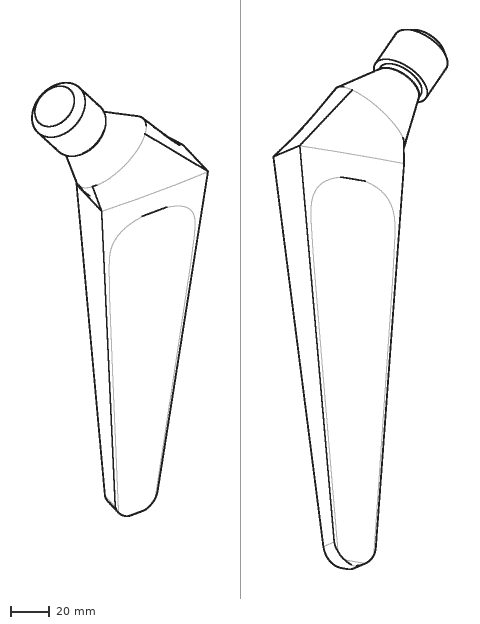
import cadquery as cq
import math

shoulder_z = 219.0
tip_start_z = 10.5
shoulder_back_y = 0.0
shoulder_front_y = -64.5
tip_back_y = -26.0
tip_front_y = -51.7
tip_mid_y = (tip_back_y + tip_front_y) / 2

shoulder_corner_x = 25.7 / 2
shoulder_crown_x = 27.2 / 2
tip_corner_x = 10.5 / 2
tip_crown_x = 14.8 / 2

panel_tip_x = 11.0 / 2
tip_round = 1.8
panel_bend_z = 177.3
panel_bend_x = 23.0 / 2
panel_top_z = 205.7
panel_top_x = 26.3 / 2
panel_top_direction = (1, 10)
stock_x = 29.5

tilt = 35.0
head_base_y = -70.3
head_base_z = 267.5
head_radius = 16.0
head_side_length = 22.0
head_chamfer_width = 4.0
head_chamfer_height = 4.0
collar_radius = 12.7
collar_length = 3.3
collar_root_depth = 3.0
neck_top_radius = 13.0
neck_length = 26.5
neck_base_offset = 2.5
neck_base_half_depth = 24.2
neck_base_half_width = 27.0 / 2

corner_angle = 37.0

head_length = head_side_length + head_chamfer_height
neck_top_height = -collar_length
neck_base_height = neck_top_height - neck_length

neck_plane = cq.Plane(
    origin=(0, head_base_y, head_base_z),
    xDir=(0, math.cos(math.radians(tilt)), math.sin(math.radians(tilt))),
    normal=(0, -math.sin(math.radians(tilt)), math.cos(math.radians(tilt))),
)


def blade_section(z, back_y, front_y, corner_x, crown_x):
    """Four-sided section with straight back and front and bulged sides."""
    mid_y = (back_y + front_y) / 2
    outline = (
        cq.Workplane("XY", origin=(0, 0, z))
        .moveTo(corner_x, back_y)
        .lineTo(-corner_x, back_y)
        .threePointArc((-crown_x, mid_y), (-corner_x, front_y))
        .lineTo(corner_x, front_y)
        .threePointArc((crown_x, mid_y), (corner_x, back_y))
        .close()
    )
    return outline.val()


def neck_ellipse(splits):
    """Foot of the neck, an ellipse divided at the given angles from its back end."""
    center = neck_plane.toWorldCoords((neck_base_offset, 0, neck_base_height))
    ends = splits[1:] + [splits[0] + 360]
    arcs = [
        cq.Edge.makeEllipse(
            neck_base_half_depth,
            neck_base_half_width,
            center,
            neck_plane.zDir,
            neck_plane.xDir,
            start,
            end,
        )
        for start, end in zip(splits, ends)
    ]
    return cq.Wire.assembleEdges(arcs)


def at_tip_end(shoulder_value, tip_value):
    """Continue a straight taper from the start of the rounded tip down to Z = 0."""
    slope = (shoulder_value - tip_value) / (shoulder_z - tip_start_z)
    return tip_value - slope * tip_start_z


def stem():
    upper = blade_section(
        shoulder_z, shoulder_back_y, shoulder_front_y, shoulder_corner_x, shoulder_crown_x
    )
    lower = blade_section(
        0,
        at_tip_end(shoulder_back_y, tip_back_y),
        at_tip_end(shoulder_front_y, tip_front_y),
        at_tip_end(shoulder_corner_x, tip_corner_x),
        at_tip_end(shoulder_crown_x, tip_crown_x),
    )
    blade = cq.Workplane(cq.Solid.makeLoft([lower, upper], True))
    rounded_tip = (
        cq.Workplane("YZ")
        .moveTo(shoulder_back_y, shoulder_z)
        .lineTo(tip_back_y, tip_start_z)
        .threePointArc((tip_mid_y, 0), (tip_front_y, tip_start_z))
        .lineTo(shoulder_front_y, shoulder_z)
        .close()
        .extrude(stock_x, both=True)
    )
    return blade.intersect(rounded_tip)


def panel_cutter():
    """Stock outside one side panel, spanning the whole depth of the blade."""
    return (
        cq.Workplane("XZ")
        .moveTo(panel_tip_x - tip_round, 0)
        .radiusArc((panel_tip_x, tip_round), -tip_round)
        .spline(
            [(panel_bend_x, panel_bend_z), (panel_top_x, panel_top_z)],
            tangents=[(panel_bend_x - panel_tip_x, panel_bend_z), panel_top_direction],
            includeCurrent=True,
        )
        .lineTo(stock_x, panel_top_z)
        .lineTo(stock_x, 0)
        .close()
        .extrude(shoulder_back_y - shoulder_front_y)
    )


def shoulder():
    base = blade_section(
        shoulder_z, shoulder_back_y, shoulder_front_y, shoulder_corner_x, shoulder_crown_x
    )
    corners = [-corner_angle, corner_angle, 180 - corner_angle, 180 + corner_angle]
    top = neck_ellipse(corners)
    return cq.Workplane(cq.Solid.makeLoft([base, top], True))


def neck():
    base = neck_ellipse([0])
    top_center = neck_plane.toWorldCoords((0, 0, neck_top_height))
    rim = cq.Edge.makeEllipse(
        neck_top_radius, neck_top_radius, top_center, neck_plane.zDir, neck_plane.xDir
    )
    top = cq.Wire.assembleEdges([rim])
    return cq.Workplane(cq.Solid.makeLoft([base, top], True))


def head():
    """Collar and chamfered cylinder about the neck axis, with a root sunk into the neck."""
    axis_plane = cq.Plane(neck_plane.origin, xDir=neck_plane.xDir, normal=(1, 0, 0))
    return (
        cq.Workplane(axis_plane)
        .moveTo(0, -collar_length - collar_root_depth)
        .lineTo(collar_radius, -collar_length - collar_root_depth)
        .lineTo(collar_radius, 0)
        .lineTo(head_radius, 0)
        .lineTo(head_radius, head_side_length)
        .lineTo(head_radius - head_chamfer_width, head_length)
        .lineTo(0, head_length)
        .close()
        .revolve(360, (0, 0), (0, 1))
    )


blade = stem()
right_cutter = panel_cutter()
for cutter in (right_cutter, right_cutter.mirror("YZ")):
    blade = blade.cut(cutter)

result = blade.union(shoulder()).union(neck()).union(head())